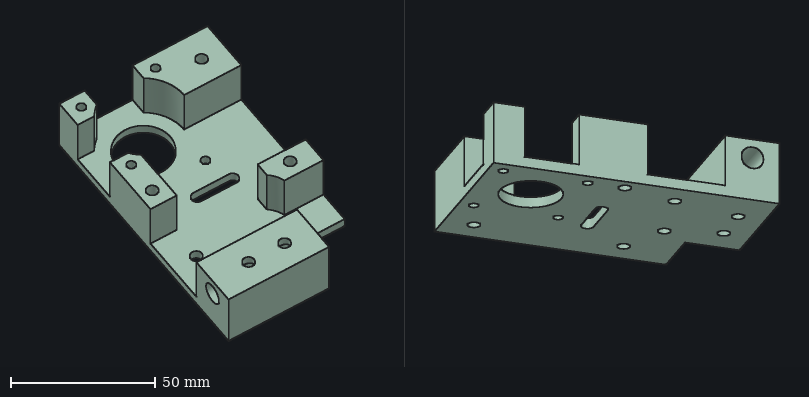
import cadquery as cq

length = 105.0
depth = 62.0
height = 23.0
floor_thickness = 4.0

block_width = 20.0
block_depth = 42.0
rod_hole_diameter = 8.1
rod_hole_height = 16.0
rod_hole_depth = 35.0

motor_x = 21.0
motor_y = 21.0
bore_diameter = 22.5
motor_clearance_radius = 17.0
motor_screw_spacing = 31.0
motor_screw_diameter = 3.5

rear_left_front_y = 30.6
front_left_width = 11.4
front_left_depth = 10.6
front_middle_left_x = 31.4
front_middle_right_x = 56.6
front_middle_depth = 10.9
rear_right_left_x = 60.8
rear_right_right_x = 71.9
rear_right_front_y = 41.9

rear_floor_hole = (75.0, 35.1)
rear_clearance_radius = 10.9

mount_hole_diameter = 4.5
rear_hole_y = 52.0
rear_left_hole_x = 11.0
rear_right_hole_x = 65.9
front_middle_hole = (50.0, 5.1)
front_floor_hole = (70.0, 10.1)
block_hole_spacing = 15.0
block_hole_middle_y = 22.6

slot_x = 48.4
slot_front_y = 22.8
slot_rear_y = 42.1

plate_length = length - block_width
block_middle_x = plate_length + block_width / 2


def box_between(x_min, x_max, y_min, y_max, top):
    """Box standing on the base plane between the given limits."""
    box = cq.Workplane("XY").box(x_max - x_min, y_max - y_min, top, centered=False)
    return box.translate((x_min, y_min, 0))


def clearance(x, y, radius):
    """Round clearance above the floor."""
    return (
        cq.Workplane("XY", origin=(x, y, floor_thickness))
        .circle(radius)
        .extrude(height - floor_thickness)
    )


def vertical_holes(points, diameter):
    """Holes through the full height at the given points."""
    return cq.Workplane("XY").pushPoints(points).circle(diameter / 2).extrude(height)


body = box_between(0, plate_length, 0, depth, floor_thickness)
posts = [
    (0, motor_x, rear_left_front_y, depth),
    (0, front_left_width, 0, front_left_depth),
    (front_middle_left_x, front_middle_right_x, 0, front_middle_depth),
    (rear_right_left_x, rear_right_right_x, rear_right_front_y, depth),
]
for x_min, x_max, y_min, y_max in posts:
    body = body.union(box_between(x_min, x_max, y_min, y_max, height))
body = body.cut(clearance(motor_x, motor_y, motor_clearance_radius))
body = body.cut(clearance(*rear_floor_hole, rear_clearance_radius))

body = body.union(box_between(plate_length, length, 0, block_depth, height))
rod_hole = (
    cq.Workplane("XZ")
    .center(block_middle_x, rod_hole_height)
    .circle(rod_hole_diameter / 2)
    .extrude(-rod_hole_depth)
)
body = body.cut(rod_hole)

body = body.cut(vertical_holes([(motor_x, motor_y)], bore_diameter))
motor_screws = [
    (motor_x + side_x * motor_screw_spacing / 2, motor_y + side_y * motor_screw_spacing / 2)
    for side_x in (-1, 1)
    for side_y in (-1, 1)
]
body = body.cut(vertical_holes(motor_screws, motor_screw_diameter))

mount_holes = [
    (rear_left_hole_x, rear_hole_y),
    (rear_right_hole_x, rear_hole_y),
    front_middle_hole,
    front_floor_hole,
    rear_floor_hole,
    (block_middle_x, block_hole_middle_y - block_hole_spacing / 2),
    (block_middle_x, block_hole_middle_y + block_hole_spacing / 2),
]
body = body.cut(vertical_holes(mount_holes, mount_hole_diameter))

slot = (
    cq.Workplane("XY")
    .center(slot_x, (slot_front_y + slot_rear_y) / 2)
    .slot2D(slot_rear_y - slot_front_y, mount_hole_diameter, 90)
    .extrude(floor_thickness)
)
result = body.cut(slot)